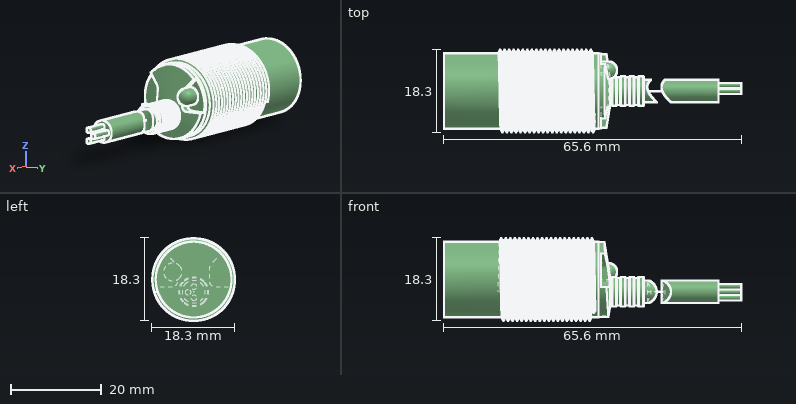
import cadquery as cq
import math


housing_radius = 8.37
housing_length = 34.15

thread_crest_radius = 9.13
thread_pitch = 1.0
thread_base_width = 0.9 * thread_pitch
thread_embed = 0.1
thread_top_crest_x = 12.65
thread_lead_in_turns = 0.3
thread_turns = 20.7

cap_base_radius = 8.32
cap_tip_radius = 8.28
cap_length = 3.0
cable_z = -2.69
cone_apex_x = 37.2
cone_slope = 0.162
cone_base_radius = 14.0

pocket_start_x = 34.67
pocket_floor_z = -1.62
pocket_wall_y = 3.5
pocket_floor_fillet = 1.3
pocket_roof_fillet = 1.8
pocket_wall_top_z = 2.95
pocket_roof_angle = math.radians(42)
pocket_reach = 10.0

lamp_radius = 2.0
lamp_y = 4.57
lamp_z = 1.68
lamp_dome_x = 36.25

relief_radius = 3.28
relief_end_x = 44.17
relief_end_chamfer = 0.2
rib_pitch = 1.95
groove_depth = 0.2
groove_floor_width = 0.75
groove_flank_width = 0.2
groove_count = 4
last_groove_center_x = 42.43

cable_radius = 2.5
cable_end_x = 60.6
break_gap = 3.1
break_upper_x = 45.7
break_crest_x = 44.92
break_crest_y = 0.5
break_flank_x = 45.45
break_flank_y = -0.75
break_lower_x = 47.0
filament_radius = 0.05

wire_radius = 0.61
wire_end_x = 65.61
wire_group_z = -2.8
wire_pair_offset = 1.23
wire_pair_y = -0.07
third_wire_y = 1.21
wire_positions = [
    (wire_pair_y, wire_group_z + wire_pair_offset),
    (wire_pair_y, wire_group_z - wire_pair_offset),
    (third_wire_y, wire_group_z),
]


def rod(start_x, end_x, radius, y=0.0, z=0.0):
    """Cylinder parallel to X."""
    return cq.Workplane("YZ", origin=(start_x, y, z)).circle(radius).extrude(end_x - start_x)


def make_thread():
    """Helical V ridge, sunk a little into the housing."""
    root_radius = housing_radius - thread_embed
    helix = cq.Wire.makeHelix(thread_pitch, thread_turns * thread_pitch, housing_radius)
    half_base = thread_base_width / 2
    ridge = (
        cq.Workplane("XZ")
        .moveTo(root_radius, -half_base)
        .lineTo(thread_crest_radius, 0)
        .lineTo(root_radius, half_base)
        .close()
        .sweep(cq.Workplane(obj=helix), isFrenet=True)
    )
    ridge = ridge.rotate((0, 0, 0), (0, 1, 0), 90)
    ridge = ridge.rotate((0, 0, 0), (1, 0, 0), 180 - 360 * thread_lead_in_turns)
    return ridge.translate((thread_top_crest_x - thread_lead_in_turns * thread_pitch, 0, 0))


def make_pocket():
    """Prism cut into the -Y flank of the cap, open to the outside and to the rear."""
    roof_rise = pocket_reach - pocket_wall_y
    roof_z = pocket_wall_top_z + roof_rise / math.tan(pocket_roof_angle)
    pocket = (
        cq.Workplane("YZ", origin=(pocket_start_x, 0, 0))
        .moveTo(-pocket_reach, pocket_floor_z)
        .lineTo(-pocket_wall_y, pocket_floor_z)
        .lineTo(-pocket_wall_y, pocket_wall_top_z)
        .lineTo(-pocket_reach, roof_z)
        .close()
        .extrude(cap_length)
    )
    pocket = pocket.faces(">Y").edges("<Z").fillet(pocket_floor_fillet)
    return pocket.faces(">Y").edges(">Z").fillet(pocket_roof_fillet)


def make_cap():
    cap = (
        cq.Workplane("YZ", origin=(housing_length, 0, 0))
        .circle(cap_base_radius)
        .workplane(offset=cap_length)
        .circle(cap_tip_radius)
        .loft()
    )
    cone_base_x = cone_apex_x - cone_slope * cone_base_radius
    cone = (
        cq.Workplane("XZ", origin=(0, 0, cable_z))
        .moveTo(0, 0)
        .lineTo(cone_apex_x, 0)
        .lineTo(cone_base_x, cone_base_radius)
        .lineTo(0, cone_base_radius)
        .close()
        .revolve(360, (0, 0, 0), (1, 0, 0))
    )
    pocket = make_pocket()
    return cap.intersect(cone).cut(pocket).cut(pocket.mirror("XZ"))


def make_lamp():
    post = rod(pocket_start_x, lamp_dome_x, lamp_radius, lamp_y, lamp_z)
    dome = cq.Workplane("XY", origin=(lamp_dome_x, lamp_y, lamp_z)).sphere(lamp_radius)
    return post.union(dome)


def make_strain_relief():
    relief = rod(housing_length, relief_end_x, relief_radius, z=cable_z)
    relief = relief.faces(">X").chamfer(relief_end_chamfer)
    half_floor = groove_floor_width / 2
    half_top = half_floor + groove_flank_width
    floor_radius = relief_radius - groove_depth
    for index in range(groove_count):
        center_x = last_groove_center_x - index * rib_pitch
        groove = (
            cq.Workplane("XZ", origin=(center_x, 0, cable_z))
            .moveTo(-half_top, relief_radius)
            .lineTo(-half_floor, floor_radius)
            .lineTo(half_floor, floor_radius)
            .lineTo(half_top, relief_radius)
            .close()
            .revolve(360, (0, 0, 0), (1, 0, 0))
        )
        relief = relief.cut(groove)
    return relief


def make_break():
    """Curved slab, upright along Z, that removes the missing length of cable."""
    near = [
        (break_upper_x, cable_radius),
        (break_crest_x, break_crest_y),
        (break_flank_x, break_flank_y),
        (break_lower_x, -cable_radius),
    ]
    far = [(x + break_gap, y) for x, y in reversed(near)]
    return (
        cq.Workplane("XY", origin=(0, 0, cable_z))
        .moveTo(*near[0])
        .spline(near[1:], includeCurrent=True)
        .lineTo(*far[0])
        .spline(far[1:], includeCurrent=True)
        .close()
        .extrude(2 * cable_radius, both=True)
    )


def make_cable():
    cable = rod(housing_length, cable_end_x, cable_radius, z=cable_z).cut(make_break())
    filament = rod(relief_end_x, cable_end_x, filament_radius, z=cable_z)
    cable = cable.union(filament)
    for y, z in wire_positions:
        cable = cable.union(rod(cable_end_x, wire_end_x, wire_radius, y, z))
    return cable


result = rod(0, housing_length, housing_radius).union(make_thread())
for feature in (make_cap(), make_strain_relief(), make_lamp(), make_cable()):
    result = result.union(feature)